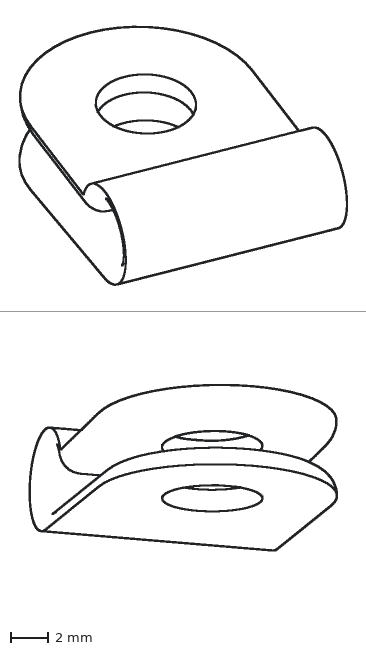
import cadquery as cq
import math

length = 18.8
width = 13.1
loop_radius = 2.8
thickness = 1.2
hole_diameter = 5.4
hole_x = 7.09
loop_wrap = 248.5
upper_tilt = 3.0
bend_radius = 0.1
upper_straight = 6.67

arc_reach = thickness * math.sqrt(0.5)
half_width = width / 2
loop_x = length - loop_radius
lower_straight = loop_x - half_width
bend_angle = loop_wrap - 180 + upper_tilt
hole_offset = hole_x - half_width
loop_end = math.radians(loop_wrap - 90)
tilt = math.radians(upper_tilt)
bend_x = loop_x + (loop_radius + bend_radius) * math.cos(loop_end)
bend_z = loop_radius + (loop_radius + bend_radius) * math.sin(loop_end)
upper_x = bend_x - bend_radius * math.sin(tilt)
upper_z = bend_z - bend_radius * math.cos(tilt)


def strip_section():
    """Strip cross-section in YZ: outside face at Z = 0, rounded inside edges."""
    inner_half = half_width - thickness
    return (
        cq.Workplane("YZ")
        .moveTo(-half_width, 0)
        .lineTo(half_width, 0)
        .threePointArc((inner_half + arc_reach, arc_reach), (inner_half, thickness))
        .lineTo(-inner_half, thickness)
        .threePointArc((-inner_half - arc_reach, arc_reach), (-half_width, 0))
        .close()
    )


def end_disc():
    """Round plate end, with the same rounded edge as the strip."""
    inner_radius = half_width - thickness
    return (
        cq.Workplane("XZ")
        .lineTo(half_width, 0)
        .threePointArc((inner_radius + arc_reach, arc_reach), (inner_radius, thickness))
        .lineTo(0, thickness)
        .close()
        .revolve(360, (0, 0), (0, 1))
    )


def plate(straight):
    """Drilled plate with its round end centred on the origin, inside face up."""
    hole = cq.Workplane("XY").center(hole_offset, 0).circle(hole_diameter / 2).extrude(thickness)
    return strip_section().extrude(straight).union(end_disc()).cut(hole)


def curl(angle, axis_z):
    """Strip section revolved about an axis parallel to Y, starting at X = 0."""
    direction = -1 if axis_z > 0 else 1
    return strip_section().revolve(angle, (0, axis_z), (direction, axis_z))


lower_plate = plate(lower_straight).translate((half_width, 0, 0))

loop = curl(loop_wrap, loop_radius).translate((loop_x, 0, 0))


def place_upper(body):
    """Turn the inside face down, tilt about Y and move to the bend."""
    flipped = body.rotate((0, 0, 0), (1, 0, 0), 180)
    return flipped.rotate((0, 0, 0), (0, 1, 0), upper_tilt).translate((upper_x, 0, upper_z))


upper_plate = place_upper(plate(upper_straight).translate((-upper_straight, 0, 0)))
bend = place_upper(curl(bend_angle, -bend_radius))

result = lower_plate.union(loop).union(bend).union(upper_plate)